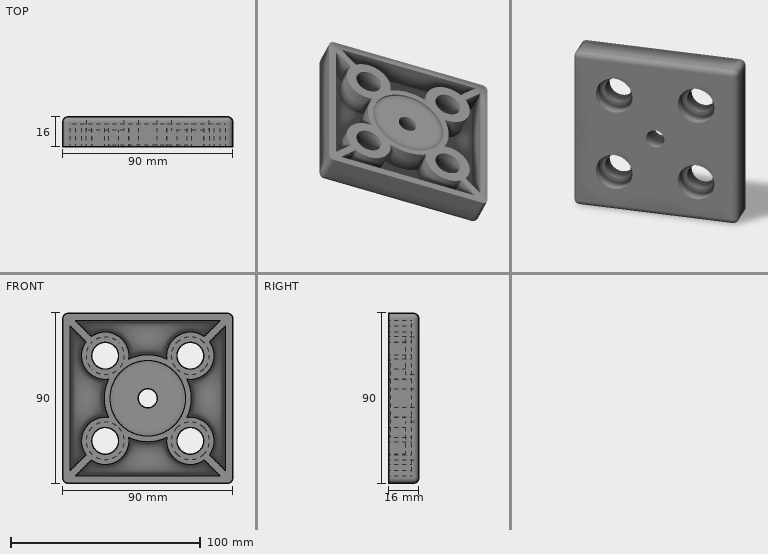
import cadquery as cq
import math

side = 90.0
thickness = 16.0
edge_radius = 3.0
wall = 4.0
floor_thickness = 4.0

bolt_spacing = 45.0
bolt_hole_diameter = 14.0
bolt_head_diameter = 20.0
bolt_head_depth = 7.0
bolt_boss_diameter = 25.0

hub_diameter = 46.0
recess_diameter = 40.0
recess_depth = 1.0
center_hole_diameter = 10.0

rib_width = 4.0

pocket_side = side - 2 * wall
pocket_depth = thickness - floor_thickness
rib_start = bolt_spacing / math.sqrt(2)
rib_end = pocket_side / math.sqrt(2) + rib_width


def open_face():
    """Sketch plane on the open side, with its normal pointing to -Y."""
    return cq.Workplane("XZ")


def bolt_pattern():
    return open_face().rect(bolt_spacing, bolt_spacing, forConstruction=True).vertices()


def rounded_block():
    block = cq.Workplane("XY").box(side, thickness, side).translate((0, thickness / 2, 0))
    return block.edges("|Y or >Y").fillet(edge_radius)


def pocket():
    """Square pocket less the hub, bosses and ribs left standing in it."""
    void = open_face().rect(pocket_side, pocket_side).extrude(-pocket_depth)
    void = void.cut(open_face().circle(hub_diameter / 2).extrude(-pocket_depth))
    void = void.cut(bolt_pattern().circle(bolt_boss_diameter / 2).extrude(-pocket_depth))
    for angle in (45, 135, 225, 315):
        rib = (
            open_face()
            .center((rib_start + rib_end) / 2, 0)
            .rect(rib_end - rib_start, rib_width)
            .extrude(-pocket_depth)
            .rotate((0, 0, 0), (0, 1, 0), angle)
        )
        void = void.cut(rib)
    return void


result = rounded_block().cut(pocket())
result = result.cut(open_face().circle(recess_diameter / 2).extrude(-recess_depth))
result = result.cut(open_face().circle(center_hole_diameter / 2).extrude(-thickness))
result = result.cut(bolt_pattern().circle(bolt_hole_diameter / 2).extrude(-thickness))

bolt_heads = bolt_pattern().circle(bolt_head_diameter / 2).extrude(-bolt_head_depth)
result = result.cut(bolt_heads.translate((0, thickness - bolt_head_depth, 0)))